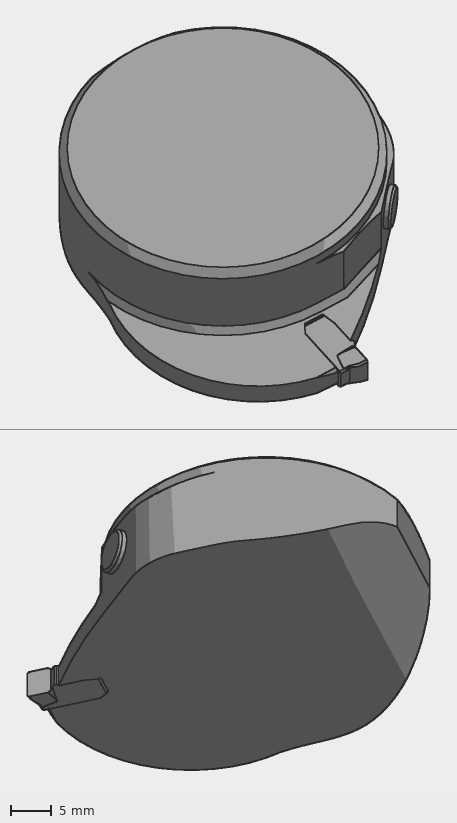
import cadquery as cq
import math

DIAGONAL = math.sqrt(0.5)
HALF_TURN = math.radians(22.5)
MARGIN = 0.5

BODY_RADIUS = 20.0
BODY_HEIGHT = 13.9
BODY_CHAMFER = 1.0
FLAT_X = -19.0
FLAT_BOTTOM_Z = 8.55
RELIEF_RADIUS = 15.0

PLATE_THICKNESS = 3.0
PLATE_ARC_RADIUS = 19.15
PLATE_ARC_X = 10.4
PLATE_ARC_Y = -2.0
NECK_END_X = 5.0
NECK_MID = (2.5, -20.1)
PLATE_BACK_MID = (21.65, 6.8)
PLATE_BACK_END = (26.4, 0.7)
TIP_CHAMFER = 0.5

PAD_DISTANCE = 20.35
PAD_ARC_RADIUS = 10.0
PAD_CORNER_X = 17.3
PAD_STRAIGHT_LENGTH = 4.05
PAD_CONE_TOP_Z = 11.45

FOOT_WIDTH = 0.75
FOOT_HEIGHT = 0.9
FOOT_START_ANGLE = -100.0
FOOT_END = (17.45, 13.5)

SCREW_DIAMETER = 5.5
SCREW_TIP_DISTANCE = 21.25
SCREW_Z = 6.95
SCREW_CHAMFER = 0.3
SCREW_ROOT_DISTANCE = 17.45

INSERT_START_X = 21.2
INSERT_FRONT_Y = -3.5
INSERT_REAR_Y = 0.4
INNER_REAR_CORNER_Y = 0.0
INNER_FRONT_CORNER_Y = -2.65
REAR_SIDE_START_X = 23.25
FRONT_SIDE_START_X = 22.5
CHIP_STOP = [(26.55, INSERT_REAR_Y), (26.8, 0.7), (27.1, 0.7)]
CHIP_STOP_FOOT_X = 27.75
INSERT_END_X = 30.1
INSERT_END_BEVEL = 0.35
EDGE_X = 30.8
EDGE_Y = 0.1
FLANK = [(EDGE_X, EDGE_Y), (30.65, -1.0), (30.15, -2.15)]
HEAD_START_X = 27.45
HEAD_OVERHANG = 0.45
HEAD_INNER_CORNER = (27.7, -2.35)
HEAD_END_Y = -2.95
HEAD_RAMP = 0.65
FLANK_BEVEL = 0.25


def polygon(plane, points):
    return cq.Workplane(plane).polyline(points).close()


def make_round_body():
    body = cq.Workplane("XY").circle(BODY_RADIUS).extrude(BODY_HEIGHT).faces(">Z").chamfer(BODY_CHAMFER)
    drop = RELIEF_RADIUS * (1 - DIAGONAL)
    slope_end_x = FLAT_X + FLAT_BOTTOM_Z - drop
    arc_end_x = slope_end_x + RELIEF_RADIUS * DIAGONAL
    arc_mid = (
        arc_end_x - RELIEF_RADIUS * math.sin(HALF_TURN),
        RELIEF_RADIUS * (1 - math.cos(HALF_TURN)),
    )
    outside_x = -BODY_RADIUS - MARGIN
    waste = (
        cq.Workplane("XZ")
        .moveTo(FLAT_X, BODY_HEIGHT + MARGIN)
        .lineTo(FLAT_X, FLAT_BOTTOM_Z)
        .lineTo(slope_end_x, drop)
        .threePointArc(arc_mid, (arc_end_x, 0))
        .lineTo(arc_end_x, -MARGIN)
        .lineTo(outside_x, -MARGIN)
        .lineTo(outside_x, BODY_HEIGHT + MARGIN)
        .close()
        .extrude(BODY_RADIUS + MARGIN, both=True)
    )
    return body.cut(waste)


def pad_face_point(x):
    return (x, PAD_DISTANCE / DIAGONAL - x)


def start_rear_outline():
    """Begin at the body axis and run along the rear edge to the end of the 45 degree pad face."""
    arc_start_x = PAD_DISTANCE / DIAGONAL - BODY_RADIUS - PAD_ARC_RADIUS * math.tan(HALF_TURN)
    arc_end = pad_face_point(arc_start_x + PAD_ARC_RADIUS * DIAGONAL)
    return (
        cq.Workplane("XY")
        .lineTo(0, BODY_RADIUS)
        .lineTo(arc_start_x, BODY_RADIUS)
        .tangentArcPoint(arc_end, relative=False)
        .lineTo(*pad_face_point(PAD_CORNER_X))
    )


def make_plate(height):
    neck_drop = math.sqrt(PLATE_ARC_RADIUS**2 - (NECK_END_X - PLATE_ARC_X) ** 2)
    arc_mid = (PLATE_ARC_X + PLATE_ARC_RADIUS * DIAGONAL, PLATE_ARC_Y - PLATE_ARC_RADIUS * DIAGONAL)
    return (
        start_rear_outline()
        .threePointArc(PLATE_BACK_MID, PLATE_BACK_END)
        .lineTo(PLATE_ARC_X + PLATE_ARC_RADIUS, PLATE_ARC_Y)
        .threePointArc(arc_mid, (NECK_END_X, PLATE_ARC_Y - neck_drop))
        .threePointArc(NECK_MID, (0, -BODY_RADIUS))
        .close()
        .extrude(height)
    )


def make_tip_waste():
    """Wedges that chamfer the upper and lower edge of the plate's +X tip."""
    tip_x = PLATE_ARC_X + PLATE_ARC_RADIUS
    wedges = cq.Workplane("XZ")
    for face_z, inward in ((0, 1), (PLATE_THICKNESS, -1)):
        corners = [
            (tip_x - TIP_CHAMFER, face_z),
            (tip_x, face_z + inward * TIP_CHAMFER),
            (tip_x, face_z),
        ]
        wedges = wedges.add(polygon("XZ", corners).extrude(PLATE_ARC_RADIUS, both=True))
    return wedges.combine()


def make_pad():
    """Flank pad whose top slopes down from the round body at 45 degrees."""
    pad = (
        start_rear_outline()
        .lineTo(BODY_RADIUS, PAD_STRAIGHT_LENGTH)
        .lineTo(BODY_RADIUS, 0)
        .close()
        .extrude(PAD_CONE_TOP_Z)
    )
    cone = cq.Workplane(
        cq.Solid.makeCone(BODY_RADIUS + PAD_CONE_TOP_Z, BODY_RADIUS, PAD_CONE_TOP_Z)
    )
    return pad.intersect(cone)


def make_foot():
    """Sloped strip above the plate, trimmed to the plate's outline."""
    foot_radius = BODY_RADIUS + FOOT_WIDTH
    start, middle = (
        (foot_radius * math.cos(angle), foot_radius * math.sin(angle))
        for angle in (math.radians(FOOT_START_ANGLE), math.radians(FOOT_START_ANGLE / 2))
    )
    foot = (
        cq.Workplane("XY")
        .workplane(offset=PLATE_THICKNESS)
        .lineTo(*start)
        .threePointArc(middle, (foot_radius, 0))
        .lineTo(foot_radius, PAD_STRAIGHT_LENGTH)
        .lineTo(*FOOT_END)
        .close()
        .extrude(FOOT_HEIGHT, taper=math.degrees(math.atan(FOOT_WIDTH / FOOT_HEIGHT)))
    )
    return foot.intersect(make_plate(BODY_HEIGHT))


def make_screw_end():
    axis_plane = cq.Plane(
        origin=(SCREW_ROOT_DISTANCE * DIAGONAL, SCREW_ROOT_DISTANCE * DIAGONAL, SCREW_Z),
        xDir=(0, 0, 1),
        normal=(1, 1, 0),
    )
    return (
        cq.Workplane(axis_plane)
        .circle(SCREW_DIAMETER / 2)
        .extrude(SCREW_TIP_DISTANCE - SCREW_ROOT_DISTANCE)
        .faces(">(1,1,0)")
        .chamfer(SCREW_CHAMFER)
    )


def insert_outline():
    """Plan of the insert: shank to the left, cutting edge at the right."""
    return [
        (INSERT_START_X, INNER_REAR_CORNER_Y),
        (REAR_SIDE_START_X, INSERT_REAR_Y),
        *CHIP_STOP,
        (CHIP_STOP_FOOT_X, EDGE_Y),
        *FLANK,
        (INSERT_END_X, INSERT_FRONT_Y),
        (FRONT_SIDE_START_X, INSERT_FRONT_Y),
        (INSERT_START_X, INNER_FRONT_CORNER_Y),
    ]


def make_seat():
    """Volume of the insert inside the plate, which is also the slot that holds it."""
    return polygon("XY", insert_outline()).extrude(PLATE_THICKNESS)


def make_head():
    """Cutting head: common volume of its plan, its side clearance and its ramped side profile."""
    low_z = -HEAD_OVERHANG
    high_z = PLATE_THICKNESS + HEAD_OVERHANG
    plan = [
        (HEAD_START_X, EDGE_Y),
        *FLANK,
        (INSERT_END_X, HEAD_END_Y),
        HEAD_INNER_CORNER,
    ]
    clearance = [
        (EDGE_Y, low_z),
        (EDGE_Y, high_z),
        (HEAD_END_Y, PLATE_THICKNESS),
        (HEAD_END_Y, 0),
    ]
    side = [
        (HEAD_START_X, 0),
        (HEAD_START_X + HEAD_RAMP, low_z),
        (EDGE_X, low_z),
        (EDGE_X, high_z),
        (HEAD_START_X + HEAD_RAMP, high_z),
        (HEAD_START_X, PLATE_THICKNESS),
    ]
    head = polygon("XY", plan).extrude(BODY_HEIGHT, both=True)
    head = head.intersect(polygon("YZ", clearance).extrude(2 * EDGE_X))
    head = head.intersect(polygon("XZ", side).extrude(BODY_RADIUS, both=True))
    flank_edges = cq.selectors.BoxSelector(
        (INSERT_END_X, HEAD_END_Y, low_z),
        (EDGE_X, EDGE_Y, high_z),
    )
    return head.edges(flank_edges).edges("not |Z").chamfer(FLANK_BEVEL)


def make_insert():
    shank = make_seat().faces("<X").edges("|Y").chamfer(INSERT_END_BEVEL)
    end_edges = cq.selectors.BoxSelector(
        (INSERT_END_X - FLANK_BEVEL, INSERT_FRONT_Y, -MARGIN),
        (EDGE_X, FLANK[-1][1], PLATE_THICKNESS + MARGIN),
    )
    shank = shank.edges(end_edges).edges("not |Z").edges("not |X").chamfer(FLANK_BEVEL)
    return shank.union(make_head())


housing = make_round_body().union(make_plate(PLATE_THICKNESS).cut(make_tip_waste()))
housing = housing.union(make_foot()).union(make_pad()).union(make_screw_end()).cut(make_seat())
insert = make_insert()

result = cq.Compound.makeCompound([housing.solids().val(), insert.solids().val()])